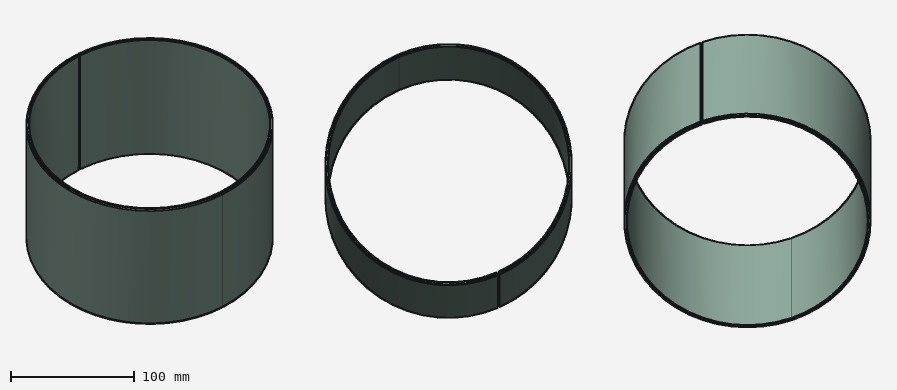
import cadquery as cq

outer_diameter = 200.0
wall = 2.5
height = 130.0
outer_chamfer_depth = 0.5
outer_chamfer_height = 1.5
inner_chamfer = 0.5
slit_width = 1.8

outer_radius = outer_diameter / 2
inner_radius = outer_radius - wall

wall_section = (
    cq.Workplane("XZ")
    .moveTo(inner_radius + inner_chamfer, 0)
    .lineTo(outer_radius - outer_chamfer_depth, 0)
    .lineTo(outer_radius, outer_chamfer_height)
    .lineTo(outer_radius, height - outer_chamfer_height)
    .lineTo(outer_radius - outer_chamfer_depth, height)
    .lineTo(inner_radius + inner_chamfer, height)
    .lineTo(inner_radius, height - inner_chamfer)
    .lineTo(inner_radius, inner_chamfer)
    .close()
)
sleeve = wall_section.revolve(360, (0, 0, 0), (0, 1, 0))

slit_length = 4 * wall
slit = cq.Workplane("XY").box(slit_length, slit_width, height, centered=(True, False, False))
slit = slit.translate((-outer_radius, 0, 0))

result = sleeve.cut(slit)